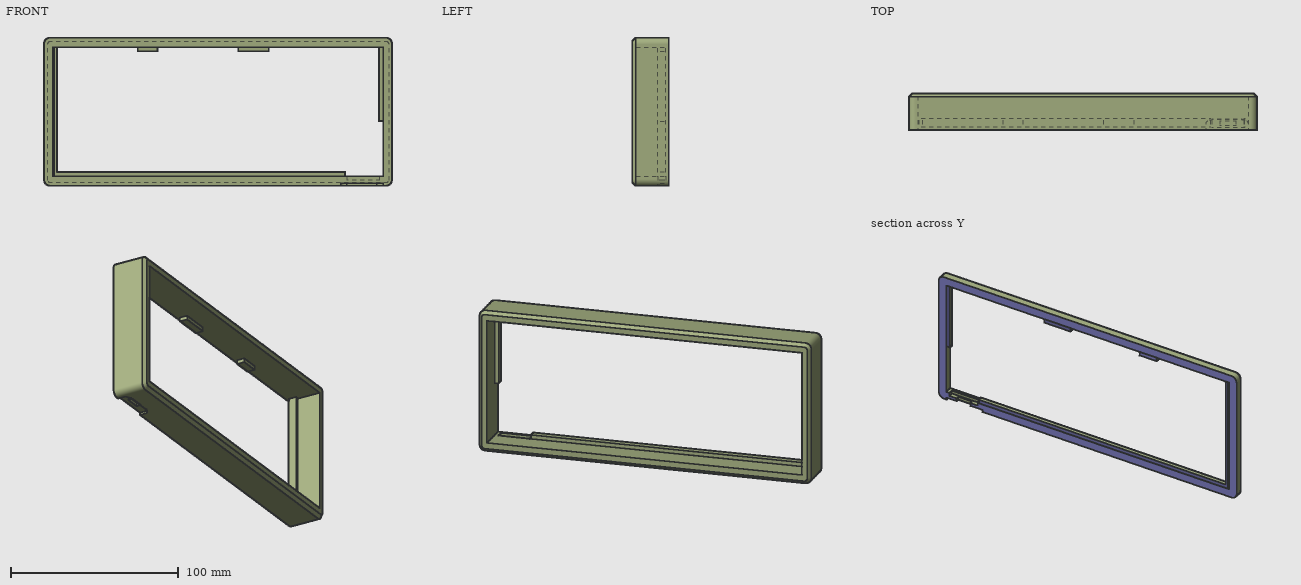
import cadquery as cq

LENGTH = 207.5
DEPTH = 22.0
HEIGHT = 88.4
SIDE_WALL = 5.4
BOTTOM_WALL = 5.8
CORNER_RADIUS = 4.0
BACK_CHAMFER = 2.0
OPENING_LENGTH = LENGTH - 2 * SIDE_WALL
OPENING_HEIGHT = HEIGHT - 2 * BOTTOM_WALL
OPENING_TOP = HEIGHT - BOTTOM_WALL

STRIP_THICKNESS = 2.5
STRIP_FRONT = 2.0
STRIP_DEPTH = 5.0
SIDE_GAP = 0.6
BOTTOM_STRIP_END = 179.5
RIGHT_STRIP_LENGTH = 44.0
TABS = ((55.8, 12.0), (115.7, 18.3))

POCKET_START = 180.2
POCKET_LENGTH = 19.5
POCKET_FRONT = 1.9
POCKET_WIDTH = 4.8
POCKET_DEPTH = 2.0
SLOT_LENGTH = 9.5
SLOT_WIDTH = 3.0
SLOT_START = POCKET_START + (POCKET_LENGTH - SLOT_LENGTH) / 2
SLOT_FRONT = POCKET_FRONT + (POCKET_WIDTH - SLOT_WIDTH) / 2

RECESS_START = 176.7
RECESS_LENGTH = 25.3
RECESS_HEIGHT = 1.5
RECESS_DEPTH = 6.2
RECESS_RADIUS = 2.5
RECESS_STEP = 0.6
RECESS_STEP_INSET = 3.7


def box(x, y, z, length, depth, height):
    """Box with its lowest corner at x, y, z."""
    return cq.Workplane("XY").box(length, depth, height, centered=False).translate((x, y, z))


def make_finger_recess():
    """Recess with round back corners and a slightly deeper middle."""
    recess = box(RECESS_START, 0, 0, RECESS_LENGTH, RECESS_DEPTH, RECESS_HEIGHT)
    recess = recess.edges("|Z and >Y").fillet(RECESS_RADIUS)
    middle_start = RECESS_START + RECESS_STEP_INSET
    middle_length = RECESS_LENGTH - 2 * RECESS_STEP_INSET
    middle = box(middle_start, 0, 0, middle_length, RECESS_DEPTH + RECESS_STEP, RECESS_HEIGHT)
    return recess.union(middle)


def make_frame():
    frame = box(0, 0, 0, LENGTH, DEPTH, HEIGHT)
    frame = frame.edges("|Y").fillet(CORNER_RADIUS)
    frame = frame.faces(">Y").chamfer(BACK_CHAMFER)
    opening = box(SIDE_WALL, 0, BOTTOM_WALL, OPENING_LENGTH, DEPTH, OPENING_HEIGHT)
    pocket_floor = BOTTOM_WALL - POCKET_DEPTH
    pocket = box(POCKET_START, POCKET_FRONT, pocket_floor, POCKET_LENGTH, POCKET_WIDTH, POCKET_DEPTH)
    slot = box(SLOT_START, SLOT_FRONT, 0, SLOT_LENGTH, SLOT_WIDTH, BOTTOM_WALL)
    return frame.cut(opening).cut(pocket).cut(slot).cut(make_finger_recess())


def make_corner_strip():
    """L-shaped strip along the bottom and left walls, just clear of the left wall."""
    left = SIDE_WALL + SIDE_GAP
    upright_thickness = STRIP_THICKNESS - SIDE_GAP
    upright = box(left, STRIP_FRONT, BOTTOM_WALL, upright_thickness, STRIP_DEPTH, OPENING_HEIGHT)
    bottom_length = BOTTOM_STRIP_END - left
    bottom = box(left, STRIP_FRONT, BOTTOM_WALL, bottom_length, STRIP_DEPTH, STRIP_THICKNESS)
    return upright.union(bottom)


def make_right_strip():
    """Short strip hanging down the right wall from the top wall."""
    x = LENGTH - SIDE_WALL - STRIP_THICKNESS
    z = OPENING_TOP - RIGHT_STRIP_LENGTH
    return box(x, STRIP_FRONT, z, STRIP_THICKNESS, STRIP_DEPTH, RIGHT_STRIP_LENGTH)


def make_tab(start, length):
    """Tab under the top wall."""
    z = OPENING_TOP - STRIP_THICKNESS
    return box(start, STRIP_FRONT, z, length, STRIP_DEPTH, STRIP_THICKNESS)


frame = make_frame()
corner_strip = make_corner_strip()
right_strip = make_right_strip()
tabs = [make_tab(start, length).val() for start, length in TABS]

result = cq.Compound.makeCompound([frame.val(), corner_strip.val(), right_strip.val(), *tabs])